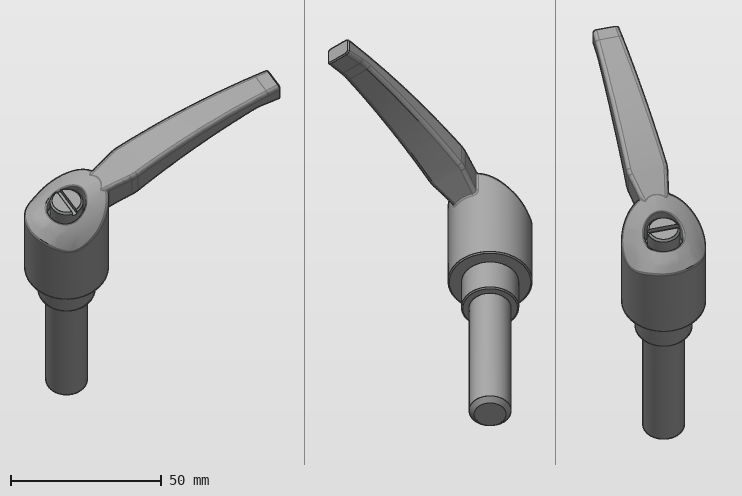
import cadquery as cq

total_height = 111.9
overall_length_y = 94.0
stud_dia = 14.0
stud_chamfer = 1.7
collar_dia = 19.0
collar_bottom = 49.9
hub_dia = 28.0
hub_radius = hub_dia / 2
hub_bottom = 62.1
small_chamfer = 0.5
hub_edge_fillet = 0.9

crown_overrun = 0.6
crown_sections = [
    (-hub_radius - crown_overrun, 89.9, 14.5),
    (-7.8, 93.8, 15.1),
    (0.0, 96.5, 19.0),
    (6.7, 99.4, 19.0),
    (hub_radius + crown_overrun, 101.1, 19.0),
]
crown_half_width = hub_radius + crown_overrun

recess_dia = 13.0
recess_radius = recess_dia / 2
recess_floor = 89.5
recess_fillet = 0.5
screw_dia = 11.0
screw_top = 97.9
screw_chamfer = 0.7
slot_width = 1.7
slot_depth = 1.6

tip_y = overall_length_y - hub_radius
root_y = 10.1
root_top = 100.2
root_bottom = 88.8
flat_start_y = 75.0
underside_middle = (42.1, 100.7)
underside_end = (71.1, 106.3)
tip_half_width = 4.5
root_half_width = 4.4
widest_y = 22.4
widest_half_width = 6.9
widest_blend = 9.0
tip_bottom = 105.0
lip_blend = 13.4
lever_fillet = 1.3
tip_chamfer = 0.5
joint_fillet = 0.7


def cylinder(diameter, bottom, top):
    return cq.Workplane("XY").workplane(offset=bottom).circle(diameter / 2).extrude(top - bottom)


def crown_wire(y, height, radius):
    """Cross-section with an arched top, in a plane of constant Y."""
    half = min(crown_half_width, radius)
    shoulder = height - radius + (radius**2 - half**2) ** 0.5
    left_top = cq.Vector(-half, y, shoulder)
    right_top = cq.Vector(half, y, shoulder)
    left_floor = cq.Vector(-half, y, hub_bottom)
    right_floor = cq.Vector(half, y, hub_bottom)
    edges = [
        cq.Edge.makeLine(left_floor, left_top),
        cq.Edge.makeThreePointArc(left_top, cq.Vector(0, y, height), right_top),
        cq.Edge.makeLine(right_top, right_floor),
        cq.Edge.makeLine(right_floor, left_floor),
    ]
    return cq.Wire.assembleEdges(edges)


def make_hub():
    crown = cq.Solid.makeLoft([crown_wire(*section) for section in crown_sections])
    hub = cylinder(hub_dia, hub_bottom, total_height).intersect(cq.Workplane(crown))
    hub = hub.faces("<Z").chamfer(small_chamfer)
    return hub.faces(">Z").edges().fillet(hub_edge_fillet)


def make_lever():
    side = (
        cq.Workplane("YZ")
        .moveTo(tip_y, total_height)
        .lineTo(flat_start_y, total_height)
        .tangentArcPoint((root_y, root_top), relative=False)
        .lineTo(root_y, root_bottom)
        .threePointArc(underside_middle, underside_end)
        .lineTo(tip_y, tip_bottom)
        .close()
        .extrude(hub_radius, both=True)
    )
    lip = cq.selectors.NearestToPointSelector((0, *underside_end))
    side = side.edges(lip).fillet(lip_blend)
    right_side = [
        (root_half_width, root_y),
        (widest_half_width, widest_y),
        (tip_half_width, tip_y),
    ]
    left_side = [(-x, y) for x, y in reversed(right_side)]
    plan = cq.Workplane("XY").polyline(right_side + left_side).close().extrude(total_height)
    for sign in (-1, 1):
        corner = cq.selectors.NearestToPointSelector((sign * widest_half_width, widest_y, total_height / 2))
        plan = plan.edges(corner).fillet(widest_blend)
    lever = side.intersect(plan)
    lever = lever.edges("not (|X or |Z)").fillet(lever_fillet)
    return lever.faces(">Y").chamfer(tip_chamfer)


def make_screw():
    screw = cylinder(screw_dia, recess_floor, screw_top).faces(">Z").chamfer(screw_chamfer)
    slot = cq.Workplane("XY").workplane(offset=screw_top - slot_depth)
    return screw.cut(slot.rect(hub_dia, slot_width).extrude(slot_depth))


stud = cylinder(stud_dia, 0, collar_bottom).faces("<Z").chamfer(stud_chamfer)
collar = cylinder(collar_dia, collar_bottom, hub_bottom).faces("<Z").chamfer(small_chamfer)
recess = cylinder(recess_dia, recess_floor, total_height)

hub = make_hub()
lever = make_lever()
joint_corners = cq.selectors.BoxSelector(
    (-widest_half_width, root_y, hub_bottom), (widest_half_width, hub_radius, total_height)
)
rim = cq.selectors.BoxSelector(
    (-recess_radius, -recess_radius, recess_floor + recess_fillet), (recess_radius, recess_radius, total_height)
)
body = hub.union(lever)
body = body.edges(joint_corners).edges("|Z").fillet(joint_fillet)
body = body.cut(recess)
body = body.edges(rim).edges("not |Z").fillet(recess_fillet)
result = body.union(make_screw()).union(collar).union(stud)